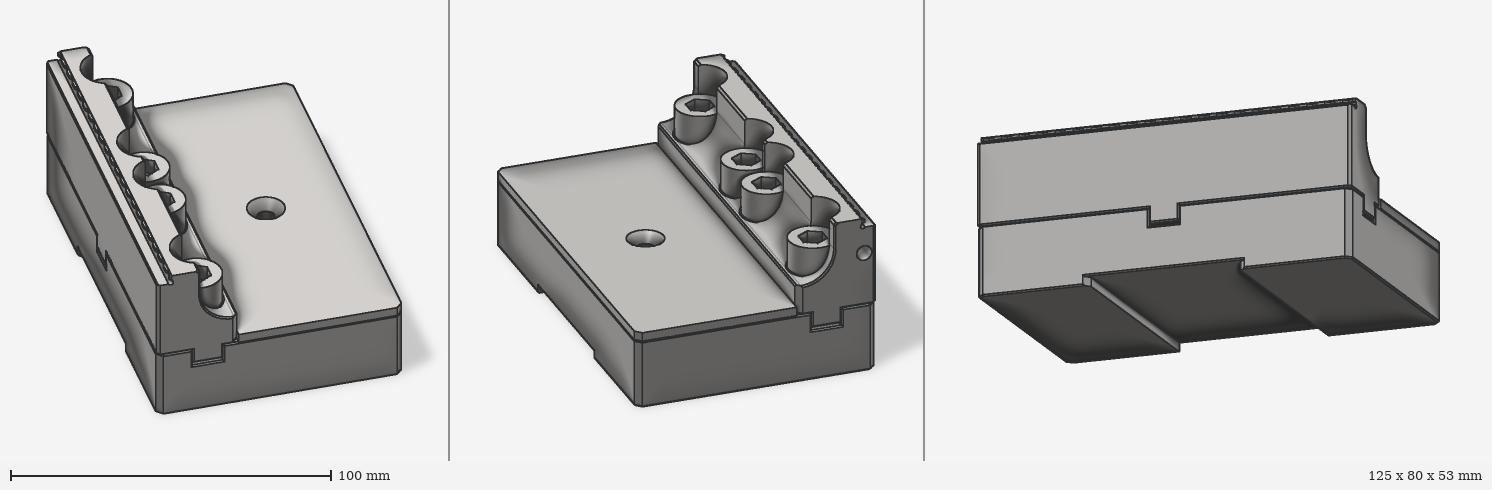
import cadquery as cq
import math

WIDTH = 125.0
DEPTH = 80.0
HEIGHT = 53.0
EDGE = 0.5
HALF = WIDTH / 2

BASE_HEIGHT = 23.0
PLATE_TOP = 26.0
CORNER = 2.0
NOTCH_WIDTH = 50.0
NOTCH_HEIGHT = 3.0

KEY_WIDTH = 10.0
KEY_CENTRE = 16.5
KEYWAY_FLOOR = 17.0
KEY_BOTTOM = 18.0
KEY_FRONT = KEY_CENTRE - KEY_WIDTH / 2
KEY_BACK = KEY_CENTRE + KEY_WIDTH / 2

JAW_DEPTH = 26.5
PLATE_FRONT = JAW_DEPTH
JAW_FRONT_CORNER = 1.0
SHOULDER = 33.0
SCOOP_RADIUS = 11.0
SHOULDER_FLAT = 1.5
NECK_EDGE = 0.75
SCOOP_BACK = JAW_DEPTH - SHOULDER_FLAT
NECK = SCOOP_BACK - SCOOP_RADIUS
LEDGE_TOP = 50.0
LEDGE_DEPTH = 4.75
LEDGE_EDGE = 0.4
RELIEF_RADIUS = 0.8
RELIEF_Y = 4.4
RELIEF_Z = 50.35

TOOTH_BOTTOM = 51.7
TOOTH_TOP = 52.6
TOOTH_REACH = 0.85
TOOTH_PITCH = 6.0
TOOTH_SLOPE = 1.7

SCREW_X = (-50.0, -9.0, 9.0, 50.0)
HEAD_DIAMETER = 16.0
HEAD_HEIGHT = 10.0
COUNTERBORE_DIAMETER = 17.0
SOCKET_FLATS = 8.0
SOCKET_DEPTH = 5.0

PIN_DIAMETER = 5.0
PIN_Y = 4.0
PIN_Z = 41.0
PIN_DEPTH = 10.0

SINK_Y = 53.5
SINK_DIAMETER = 12.0
SINK_BOTTOM_DIAMETER = 5.6
SINK_HOLE_DIAMETER = 5.0
SINK_HOLE_DEPTH = 12.0


def block(x_size, y_min, y_max, z_min, z_max):
    """Box centred on X = 0 between the given Y and Z limits."""
    box = cq.Workplane("XY").box(x_size, y_max - y_min, z_max - z_min, centered=(True, False, False))
    return box.translate((0, y_min, z_min))


def mouth_flare(plane, centre):
    """Tapered cutter that chamfers the floor and sides of a keyway mouth."""
    flare_width = KEY_WIDTH + 2 * EDGE
    flare_height = 2 * (BASE_HEIGHT - KEYWAY_FLOOR + EDGE)
    mouth = cq.Workplane(plane).center(centre, BASE_HEIGHT).rect(flare_width, flare_height)
    return mouth.extrude(EDGE, taper=45)


def cut_notch(body):
    """Shallow notch through the underside, widened by corner chamfers at the front."""
    half = NOTCH_WIDTH / 2
    outline = [
        (-half, DEPTH),
        (-half, CORNER),
        (-half - CORNER, 0),
        (half + CORNER, 0),
        (half, CORNER),
        (half, DEPTH),
    ]
    notch = cq.Workplane("XY").polyline(outline).close().extrude(NOTCH_HEIGHT)
    body = body.cut(notch)
    roof_edge = cq.selectors.NearestToPointSelector((0, 0, NOTCH_HEIGHT))
    return body.faces("<Y").edges(roof_edge).chamfer(EDGE)


def cut_keyways(body):
    """Keyway along X through the block, crossed by a round-ended one from the front."""
    body = body.cut(block(WIDTH, KEY_FRONT, KEY_BACK, KEYWAY_FLOOR, BASE_HEIGHT))
    body = body.cut(block(KEY_WIDTH, 0, KEY_BACK, KEYWAY_FLOOR, BASE_HEIGHT))
    rounded = cq.Workplane("XY", origin=(0, KEY_BACK, KEYWAY_FLOOR)).circle(KEY_WIDTH / 2)
    body = body.cut(rounded.extrude(BASE_HEIGHT - KEYWAY_FLOOR))

    side_plane = cq.Plane(origin=(-HALF, 0, 0), xDir=(0, 1, 0), normal=(1, 0, 0))
    side_flare = mouth_flare(side_plane, KEY_CENTRE)
    front_plane = cq.Plane(origin=(0, 0, 0), xDir=(-1, 0, 0), normal=(0, 1, 0))
    front_flare = mouth_flare(front_plane, 0)
    return body.cut(side_flare).cut(side_flare.mirror("YZ")).cut(front_flare)


def make_base():
    body = block(WIDTH, 0, DEPTH, 0, BASE_HEIGHT).edges("|Z").chamfer(CORNER)
    body = body.faces("<Z or >Z").edges().chamfer(EDGE)
    return cut_keyways(cut_notch(body))


def make_plate():
    plate = block(WIDTH, PLATE_FRONT, DEPTH, BASE_HEIGHT, PLATE_TOP)
    return plate.edges("|Z and >Y").chamfer(CORNER)


def sink_cutter():
    """Countersink with a narrower blind hole below it."""
    cone_depth = (SINK_DIAMETER - SINK_BOTTOM_DIAMETER) / 2
    top_radius = SINK_DIAMETER / 2
    hole_radius = SINK_HOLE_DIAMETER / 2
    half_section = [
        (0, 0),
        (top_radius, 0),
        (SINK_BOTTOM_DIAMETER / 2, -cone_depth),
        (hole_radius, -cone_depth),
        (hole_radius, -SINK_HOLE_DEPTH),
        (0, -SINK_HOLE_DEPTH),
    ]
    cutter = cq.Workplane("XZ").polyline(half_section).close().revolve(360, (0, 0, 0), (0, 1, 0))
    return cutter.translate((0, SINK_Y, PLATE_TOP))


def make_jaw_body():
    """Jaw section swept along X: front ledge, top, neck and concave scoop to the shoulder."""
    scoop_mid = SCOOP_RADIUS * math.sqrt(0.5)
    scoop_z = SHOULDER + SCOOP_RADIUS
    body = (
        cq.Workplane("YZ")
        .moveTo(0, BASE_HEIGHT)
        .lineTo(0, LEDGE_TOP)
        .lineTo(LEDGE_DEPTH, LEDGE_TOP)
        .lineTo(LEDGE_DEPTH, HEIGHT)
        .lineTo(NECK, HEIGHT)
        .lineTo(NECK, scoop_z)
        .threePointArc((SCOOP_BACK - scoop_mid, scoop_z - scoop_mid), (SCOOP_BACK, SHOULDER))
        .lineTo(JAW_DEPTH, SHOULDER)
        .lineTo(JAW_DEPTH, BASE_HEIGHT)
        .close()
        .extrude(HALF, both=True)
    )
    body = body.edges("|Z and <Y").chamfer(JAW_FRONT_CORNER)
    body = body.edges("|Z and >Y").chamfer(CORNER)
    body = body.faces("<Z").edges("not >Y").chamfer(EDGE)
    body = body.faces("<Y").edges(">Z").chamfer(LEDGE_EDGE)
    body = body.faces(">Z").edges(">Y").chamfer(NECK_EDGE)
    body = body.faces(">Y").edges(">Z").chamfer(EDGE)
    reach = 2 * EDGE
    for side in (-1, 1):
        corner_low = (side * (HALF - EDGE), NECK - reach, SHOULDER - EDGE)
        corner_high = (side * (HALF + EDGE), SCOOP_BACK, HEIGHT)
        ends = cq.selectors.BoxSelector(corner_low, corner_high)
        body = body.edges(ends).edges("#X").chamfer(EDGE)
    return body


def make_keys():
    """Crossed keys under the jaw, chamfered where they reach its outer faces."""
    top = BASE_HEIGHT + 2 * EDGE
    side_key = block(WIDTH, KEY_FRONT, KEY_BACK, KEY_BOTTOM, top)
    side_key = side_key.faces("<X or >X").edges("not >Z").chamfer(EDGE)
    front_key = block(KEY_WIDTH, 0, KEY_CENTRE, KEY_BOTTOM, top)
    front_key = front_key.faces("<Y").edges("not >Z").chamfer(EDGE)
    return side_key.union(front_key)


def make_teeth():
    """Row of trapezoidal teeth on the wall above the ledge, parted by V grooves."""
    edge_y = LEDGE_DEPTH - TOOTH_REACH
    bar = block(WIDTH, edge_y, LEDGE_DEPTH + EDGE, TOOTH_BOTTOM, TOOTH_TOP)
    groove = (
        cq.Workplane("XY", origin=(0, 0, TOOTH_BOTTOM))
        .polyline([(-TOOTH_SLOPE, edge_y), (TOOTH_SLOPE, edge_y), (0, LEDGE_DEPTH)])
        .close()
        .extrude(TOOTH_TOP - TOOTH_BOTTOM)
    )
    half_count = int(HALF // TOOTH_PITCH)
    for index in range(-half_count, half_count + 1):
        bar = bar.cut(groove.translate((index * TOOTH_PITCH, 0, 0)))
    return bar


def make_screw():
    """Socket head of a cap screw, standing on the counterbore floor."""
    socket_corners = SOCKET_FLATS / math.cos(math.pi / 6)
    head = cq.Workplane("XY").circle(HEAD_DIAMETER / 2).extrude(HEAD_HEIGHT)
    return head.faces(">Z").workplane().polygon(6, socket_corners).cutBlind(-SOCKET_DEPTH)


def make_jaw():
    jaw = make_jaw_body().union(make_keys()).union(make_teeth())
    relief = cq.Workplane("YZ").center(RELIEF_Y, RELIEF_Z).circle(RELIEF_RADIUS).extrude(HALF, both=True)
    jaw = jaw.cut(relief)
    pin_hole = cq.Workplane("YZ", origin=(-HALF, PIN_Y, PIN_Z)).circle(PIN_DIAMETER / 2).extrude(PIN_DEPTH)
    jaw = jaw.cut(pin_hole)
    bore = cq.Workplane("XY").circle(COUNTERBORE_DIAMETER / 2).extrude(HEIGHT - SHOULDER)
    for x in SCREW_X:
        jaw = jaw.cut(bore.translate((x, KEY_CENTRE, SHOULDER)))
    for x in SCREW_X:
        jaw = jaw.union(make_screw().translate((x, KEY_CENTRE, SHOULDER)))
    return jaw


result = make_base().union(make_plate()).cut(sink_cutter()).union(make_jaw())